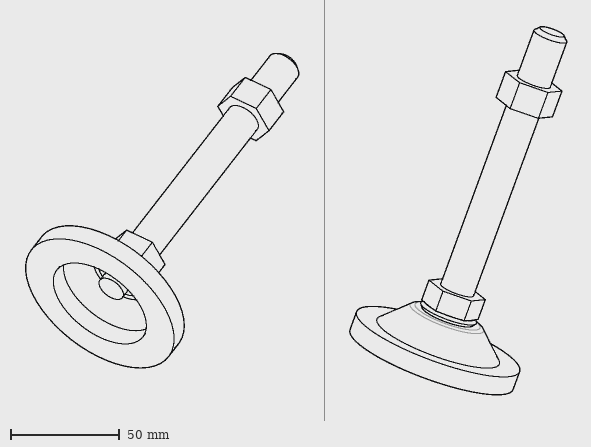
import cadquery as cq
import math


flange_radius = 40.01
flange_thickness = 9.0
foot_height = 22.0
cone_base_radius = 30.0
shoulder_radius = cone_base_radius - (foot_height - flange_thickness)
shoulder_fillet = 3.0
cavity_radius = 25.0
cavity_floor_radius = 14.8
cavity_floor_y = 19.0

total_length = 165.0
shaft_radius = 8.1
end_chamfer = 2.1
head_radius = 12.4
tip_radius = 6.6
tip_y = 10.0
tip_root_y = 15.5

across_flats = 24.0
across_corners = across_flats / math.cos(math.pi / 6)
collar_y = 25.0
collar_height = 10.0
nut_y = 127.0
nut_height = 13.0

ring_peak_radius = 13.7
ring_edge_radius = 12.5
ring_peak_y = (foot_height + collar_y) / 2


def revolve_about_y(outline):
    return outline.close().revolve(360, (0, 0, 0), (0, 1, 0))


def hex_prism(start_y, height):
    """Hexagonal prism along +Y with two corners on the X axis."""
    plane = cq.Plane(origin=(0, start_y, 0), xDir=(1, 0, 0), normal=(0, 1, 0))
    return cq.Workplane(plane).polygon(6, across_corners).extrude(height)


def make_foot():
    """Flanged conical foot, hollow underneath, with a bore for the spindle head."""
    foot = revolve_about_y(
        cq.Workplane("XY")
        .moveTo(cavity_radius, 0)
        .lineTo(flange_radius, 0)
        .lineTo(flange_radius, flange_thickness)
        .lineTo(cone_base_radius, flange_thickness)
        .lineTo(shoulder_radius, foot_height)
        .lineTo(head_radius, foot_height)
        .lineTo(head_radius, cavity_floor_y)
        .lineTo(cavity_floor_radius, cavity_floor_y)
        .lineTo(cavity_radius, flange_thickness)
    )
    shoulder_edge = cq.selectors.RadiusNthSelector(-1)
    return foot.faces(">Y").edges(shoulder_edge).fillet(shoulder_fillet)


def make_spindle():
    """Chamfered shaft with a hexagonal collar and a head tapering to a round tip."""
    turned = revolve_about_y(
        cq.Workplane("XY")
        .moveTo(0, tip_y)
        .lineTo(tip_radius, tip_y)
        .lineTo(tip_radius, tip_root_y)
        .lineTo(head_radius, cavity_floor_y)
        .lineTo(head_radius, foot_height)
        .lineTo(shaft_radius, foot_height)
        .lineTo(shaft_radius, total_length - end_chamfer)
        .lineTo(shaft_radius - end_chamfer, total_length)
        .lineTo(0, total_length)
    )
    return turned.union(hex_prism(collar_y, collar_height))


def make_ring():
    """Ring with a V-shaped rim, filling the gap between foot and collar."""
    return revolve_about_y(
        cq.Workplane("XY")
        .moveTo(shaft_radius, foot_height)
        .lineTo(ring_edge_radius, foot_height)
        .lineTo(ring_peak_radius, ring_peak_y)
        .lineTo(ring_edge_radius, collar_y)
        .lineTo(shaft_radius, collar_y)
    )


def make_lock_nut():
    """Plain hexagonal nut bored to fit the shaft."""
    return hex_prism(nut_y, nut_height).faces(">Y").workplane().hole(2 * shaft_radius)


foot = make_foot()
spindle = make_spindle()
ring = make_ring()
lock_nut = make_lock_nut()

result = cq.Compound.makeCompound([foot.val(), spindle.val(), ring.val(), lock_nut.val()])